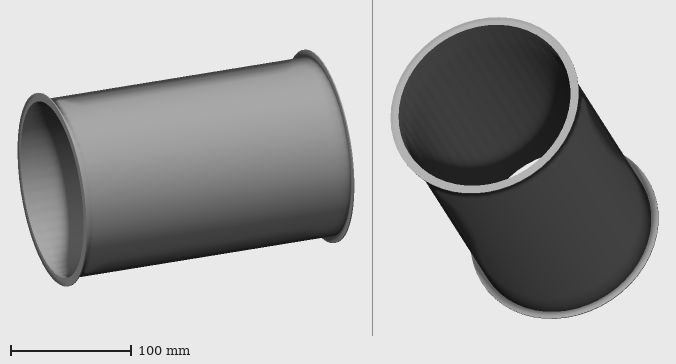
import cadquery as cq

length = 238.0
bore_diameter = 149.0
tube_diameter = 151.0
flange_diameter = 163.0

sheet_thickness = (tube_diameter - bore_diameter) / 2


def ring(outer_diameter, start_y, width):
    """Ring around the Y axis with the common bore, running from start_y toward +Y."""
    return (
        cq.Workplane("XZ", origin=(0, start_y, 0))
        .circle(outer_diameter / 2)
        .circle(bore_diameter / 2)
        .extrude(-width)
    )


tube = ring(tube_diameter, -length / 2, length)

front_flange = ring(flange_diameter, -length / 2, sheet_thickness)
back_flange = ring(flange_diameter, length / 2 - sheet_thickness, sheet_thickness)

result = tube.union(front_flange).union(back_flange)